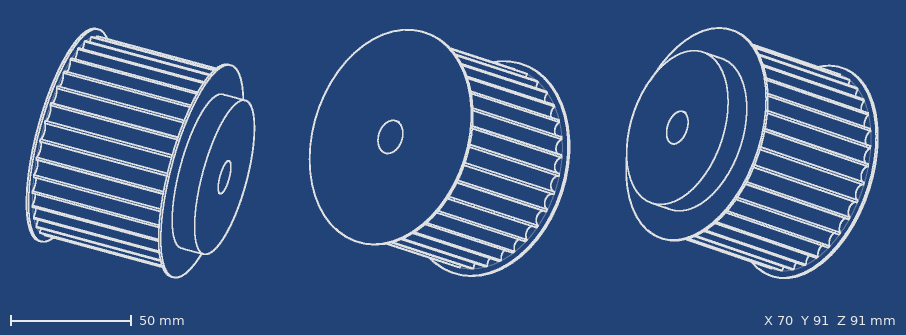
import cadquery as cq
import math

flange_diameter = 91.0
body_length = 60.0
hub_length = 10.0
hub_diameter = 66.0
bore_diameter = 14.0

flange_root_thickness = 1.5
flange_rim_thickness = 1.0
flange_radius = flange_diameter / 2

tooth_count = 34
tooth_diameter = 85.2
land_width = 1.1
groove_depth = 3.5
tooth_radius = tooth_diameter / 2
tooth_pitch_angle = 360 / tooth_count
root_radius = tooth_radius - groove_depth


def polar(radius, angle):
    """Point in the YZ plane at an angle in degrees from +Y."""
    a = math.radians(angle)
    return (radius * math.cos(a), radius * math.sin(a))


def toothed_body():
    """Gear-like prism: arc lands joined by round grooves, one groove centred on +Y."""
    land_angle = math.degrees(land_width / tooth_radius)
    groove_half_angle = (tooth_pitch_angle - land_angle) / 2
    outline = cq.Workplane("YZ").moveTo(*polar(tooth_radius, -groove_half_angle))
    for tooth in range(tooth_count):
        groove = tooth * tooth_pitch_angle
        outline = outline.threePointArc(
            polar(root_radius, groove),
            polar(tooth_radius, groove + groove_half_angle),
        )
        outline = outline.threePointArc(
            polar(tooth_radius, groove + tooth_pitch_angle / 2),
            polar(tooth_radius, groove + tooth_pitch_angle - groove_half_angle),
        )
    return outline.close().extrude(body_length)


def flange(outer_face_x, inward):
    """Disc with a flat outer face and a sloped inner face; inward is +1 or -1 along X."""
    root_x = outer_face_x + inward * flange_root_thickness
    rim_x = outer_face_x + inward * flange_rim_thickness
    return (
        cq.Workplane("XY")
        .moveTo(outer_face_x, 0)
        .lineTo(outer_face_x, flange_radius)
        .lineTo(rim_x, flange_radius)
        .lineTo(root_x, tooth_radius)
        .lineTo(root_x, 0)
        .close()
        .revolve(360, (0, 0, 0), (1, 0, 0))
    )


total_length = body_length + hub_length
hub = cq.Workplane("YZ").circle(hub_diameter / 2).extrude(total_length)
bore = cq.Workplane("YZ").circle(bore_diameter / 2).extrude(total_length)

result = (
    toothed_body()
    .union(flange(0, 1))
    .union(flange(body_length, -1))
    .union(hub)
    .cut(bore)
)